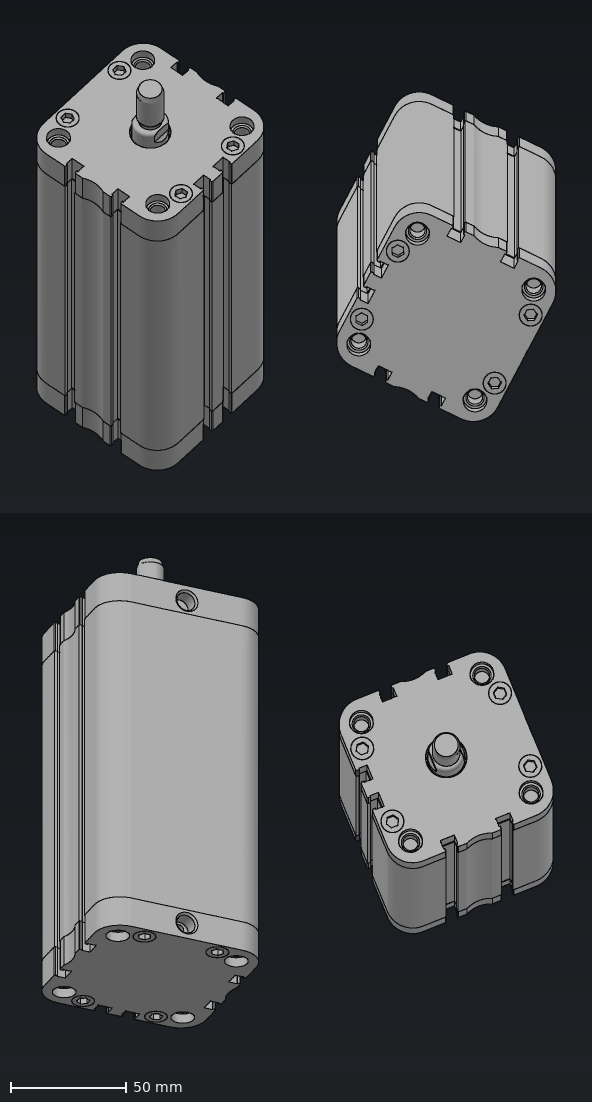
import cadquery as cq
import math


side = 77.0
corner_radius = 12.0
cap_height = 14.0
body_height = 174.0
barrel_height = body_height - 2 * cap_height
face = side / 2

slot_mouth = 5.4
slot_inner_width = 6.6
slot_depth = 5.0
slot_lip = 1.5
slot_offset_front = 13.0
slot_offset_side = 6.5
cap_slot_extra_depth = 0.4
cap_slot_chamfer = 0.45

groove_width = 11.8
groove_depth = 1.3
groove_edge_radius = 1.5

mount_offset = 28.25
mount_bore_diameter = 10.3
mount_bore_depth = 4.5
mount_hole_diameter = 6.65
mount_hole_depth = 13.0
mount_chamfer_diameter = 8.0

screw_x = 32.3
screw_y = 17.35
screw_head_diameter = 9.8
screw_bore_diameter = 10.0
screw_bore_depth = 6.0
hex_size = 5.0
hex_depth = 3.0

port_diameter = 8.57
port_mouth_diameter = 10.5
port_depth = 8.0
port_inset = 7.5
air_hole_diameter = 4.0
air_hole_rise = 1.1
air_hole_depth = 14.0

rod_diameter = 16.0
rod_collar_height = 8.0
collar_fillet = 1.8
flat_width = 13.0
flat_base = 2.7
thread_diameter = 12.0
thread_length = 22.0
thread_root_diameter = 10.3
thread_tip_length = 2.7
relief_length = 3.0
relief_chamfer = 0.85

rod_mouth_diameter = 18.0
rod_recess_diameter = 17.7
rod_recess_depth = 2.0
rod_seal_diameter = 16.54
rod_seal_depth = 4.0


def t_slot(height, extra_depth):
    """T-slot cutter centred on Y = 0, its mouth in the +X face."""
    floor_x = face - slot_depth - extra_depth
    throat = cq.Workplane("XY").box(2 * slot_lip, slot_mouth, height, centered=(True, True, False))
    inner_depth = face - slot_lip - floor_x
    inner = cq.Workplane("XY").box(inner_depth, slot_inner_width, height, centered=(False, True, False))
    return throat.translate((face, 0, 0)).union(inner.translate((floor_x, 0, 0)))


def slot_mouth_chamfer(height):
    """Cutter that bevels both mouth edges of a T-slot in the +X face."""
    half_mouth = slot_mouth / 2
    half_bevel = half_mouth + cap_slot_chamfer
    return (
        cq.Workplane("XY")
        .polyline(
            [
                (face - cap_slot_chamfer, -half_mouth),
                (face, -half_bevel),
                (face, half_bevel),
                (face - cap_slot_chamfer, half_mouth),
            ]
        )
        .close()
        .extrude(height)
    )


def round_groove(height):
    """Shallow groove cutter in the +X face, centred on Y = 0."""
    radius = ((groove_width / 2) ** 2 + groove_depth**2) / (2 * groove_depth)
    return cq.Workplane("XY").center(face - groove_depth + radius, 0).circle(radius).extrude(height)


def slotted_block(height, slot):
    """Rounded square block with the slot cut into three faces and a groove into two."""
    block = cq.Workplane("XY").rect(side, side).extrude(height).edges("|Z").fillet(corner_radius)
    groove = round_groove(height)
    for offset in (-slot_offset_side, slot_offset_side):
        block = block.cut(slot.translate((0, offset, 0)))
    for angle in (-90, 90):
        for offset in (-slot_offset_front, slot_offset_front):
            turned = slot.translate((0, offset, 0)).rotate((0, 0, 0), (0, 0, 1), angle)
            block = block.cut(turned)
        block = block.cut(groove.rotate((0, 0, 0), (0, 0, 1), angle))
    return block


def barrel():
    """Slotted barrel between the caps, with rounded groove edges."""
    block = slotted_block(barrel_height, t_slot(barrel_height, 0))
    for x_sign in (-1, 1):
        for y_sign in (-1, 1):
            edge_middle = (x_sign * groove_width / 2, y_sign * face, barrel_height / 2)
            groove_edge = cq.selectors.NearestToPointSelector(edge_middle)
            block = block.edges(groove_edge).fillet(groove_edge_radius)
    return block.translate((0, 0, cap_height))


def mounting_hole():
    """Counterbored hole cutter with its mouth at Z = 0, going down."""
    chamfer_depth = (mount_chamfer_diameter - mount_hole_diameter) / 2
    return (
        cq.Workplane("XZ")
        .lineTo(mount_bore_diameter / 2, 0)
        .lineTo(mount_bore_diameter / 2, -mount_bore_depth)
        .lineTo(mount_chamfer_diameter / 2, -mount_bore_depth)
        .lineTo(mount_hole_diameter / 2, -mount_bore_depth - chamfer_depth)
        .lineTo(mount_hole_diameter / 2, -mount_hole_depth)
        .lineTo(0, -mount_hole_depth)
        .close()
        .revolve(360, (0, 0, 0), (0, 1, 0))
    )


def screw_outline(hex_angle):
    """Cutter for the gap around a screw head and its hexagon socket, going down from Z = 0."""
    gap = (
        cq.Workplane("XY")
        .circle(screw_bore_diameter / 2)
        .circle(screw_head_diameter / 2)
        .extrude(-screw_bore_depth)
    )
    hex_across_corners = hex_size / math.cos(math.pi / 6)
    socket = cq.Workplane("XY").polygon(6, hex_across_corners).extrude(-hex_depth)
    return gap.union(socket.rotate((0, 0, 0), (0, 0, 1), hex_angle))


def air_port():
    """Port cutter along +X with its mouth at the -X face, at Z = 0."""
    chamfer = (port_mouth_diameter - port_diameter) / 2
    return (
        cq.Workplane("XY")
        .moveTo(-face, 0)
        .lineTo(-face, port_mouth_diameter / 2)
        .lineTo(-face + chamfer, port_diameter / 2)
        .lineTo(-face + port_depth, port_diameter / 2)
        .lineTo(-face + port_depth, 0)
        .close()
        .revolve(360, (-face, 0, 0), (-face + 1, 0, 0))
    )


def end_cap():
    """End cap with its outer end at the top, standing on Z = 0."""
    slot = t_slot(cap_height, cap_slot_extra_depth).union(slot_mouth_chamfer(cap_height))
    cap = slotted_block(cap_height, slot)
    for x_sign in (-1, 1):
        for y_sign in (-1, 1):
            mount_place = (x_sign * mount_offset, y_sign * mount_offset, cap_height)
            cap = cap.cut(mounting_hole().translate(mount_place))
            hex_angle = 30 if x_sign < 0 else 0
            screw_place = (x_sign * screw_x, y_sign * screw_y, cap_height)
            cap = cap.cut(screw_outline(hex_angle).translate(screw_place))
    return cap.cut(air_port().translate((0, 0, cap_height - port_inset)))


def rod_opening():
    """Stepped cutter for the rod, with its bevelled mouth at Z = 0, going down through the cap."""
    mouth_chamfer = (rod_mouth_diameter - rod_recess_diameter) / 2
    return (
        cq.Workplane("XZ")
        .lineTo(rod_mouth_diameter / 2, 0)
        .lineTo(rod_recess_diameter / 2, -mouth_chamfer)
        .lineTo(rod_recess_diameter / 2, -rod_recess_depth)
        .lineTo(rod_seal_diameter / 2, -rod_recess_depth)
        .lineTo(rod_seal_diameter / 2, -rod_seal_depth)
        .lineTo(rod_diameter / 2, -rod_seal_depth)
        .lineTo(rod_diameter / 2, -cap_height)
        .lineTo(0, -cap_height)
        .close()
        .revolve(360, (0, 0, 0), (0, 1, 0))
    )


def top_cap():
    """Cap around the rod."""
    cap = end_cap().translate((0, 0, body_height - cap_height))
    return cap.cut(rod_opening().translate((0, 0, body_height)))


def bottom_cap():
    """Mirrored cap, with a small air hole in its port."""
    cap = end_cap().mirror("XY").translate((0, 0, cap_height))
    air_hole = (
        cq.Workplane("YZ", origin=(-face, 0, port_inset + air_hole_rise))
        .circle(air_hole_diameter / 2)
        .extrude(air_hole_depth)
    )
    return cap.cut(air_hole)


def piston_rod():
    """Rod with wrench flats, a thread relief and a plain thread."""
    base = body_height - cap_height
    collar_top = body_height + rod_collar_height
    tip = collar_top + thread_length
    rod_radius = rod_diameter / 2
    thread_radius = thread_diameter / 2
    root_radius = thread_root_diameter / 2
    rod = (
        cq.Workplane("XZ")
        .moveTo(0, base)
        .lineTo(rod_radius, base)
        .lineTo(rod_radius, collar_top - collar_fillet)
        .tangentArcPoint((rod_radius - collar_fillet, collar_top), relative=False)
        .lineTo(root_radius, collar_top)
        .lineTo(root_radius, collar_top + relief_length - relief_chamfer)
        .lineTo(thread_radius, collar_top + relief_length)
        .lineTo(thread_radius, tip - thread_tip_length)
        .lineTo(root_radius, tip)
        .lineTo(0, tip)
        .close()
        .revolve(360, (0, 0, 0), (0, 1, 0))
    )
    flat_x = flat_width / 2
    runout = rod_radius - flat_x
    flat_bottom = body_height + flat_base
    flat_cut = (
        cq.Workplane("XZ")
        .moveTo(flat_x, collar_top)
        .lineTo(flat_x, flat_bottom)
        .lineTo(rod_radius, flat_bottom - runout)
        .lineTo(rod_radius, collar_top)
        .close()
        .extrude(rod_radius, both=True)
    )
    return rod.cut(flat_cut).cut(flat_cut.mirror("YZ"))


result = cq.Compound.makeCompound(
    [barrel().val(), top_cap().val(), bottom_cap().val(), piston_rod().val()]
)